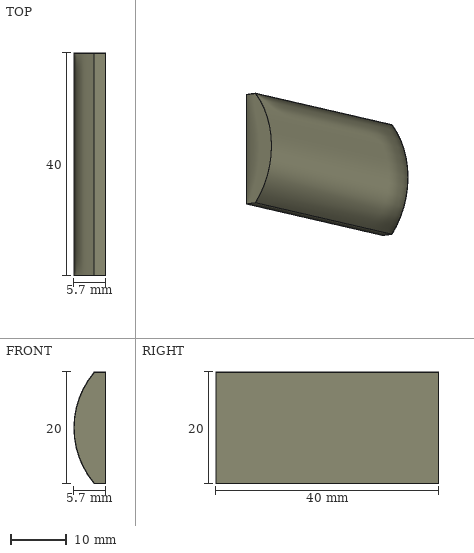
import cadquery as cq
import math

length = 40.0
height = 20.0
center_thickness = 5.7
convex_radius = 15.5

half_height = height / 2
sagitta = convex_radius - math.sqrt(convex_radius**2 - half_height**2)

apex_x = 0.0
edge_x = apex_x + sagitta
flat_x = apex_x + center_thickness


def lens_profile():
    """Closed cross-section in the XZ plane."""
    return (
        cq.Workplane("XZ")
        .moveTo(flat_x, -half_height)
        .lineTo(flat_x, half_height)
        .lineTo(edge_x, half_height)
        .threePointArc((apex_x, 0), (edge_x, -half_height))
        .close()
    )


result = lens_profile().extrude(length / 2, both=True)